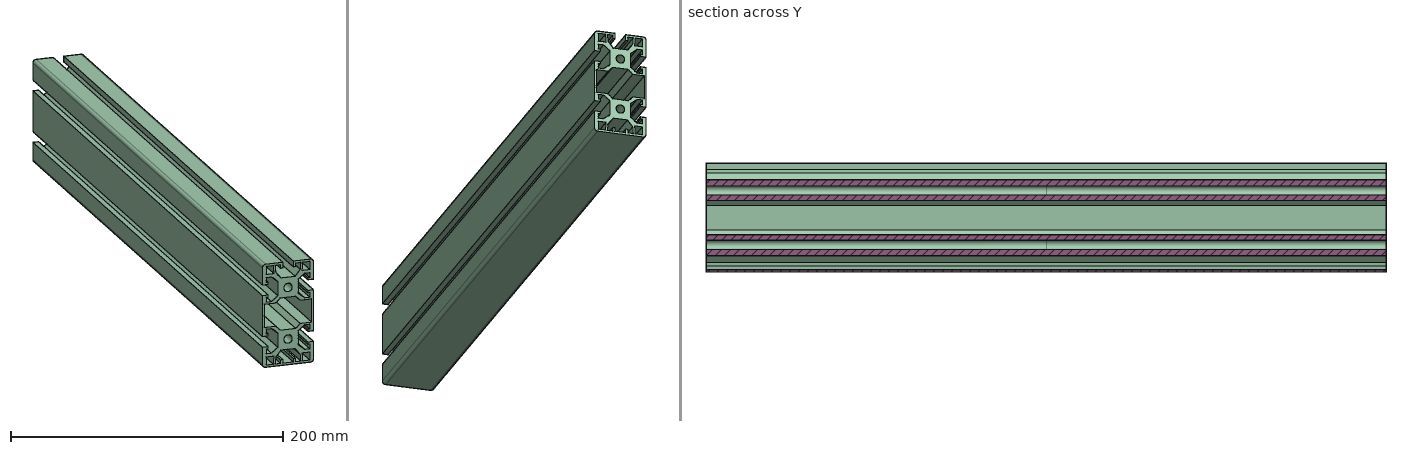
import cadquery as cq

length = 500.0
cell = 40.0
half_cell = cell / 2
corner_radius = 2.5

core_half = 8.0
core_flat_half = 5.5
bore_diameter = 6.5

mouth_half = 4.1
pocket_half = 9.5
pocket_flare = 0.5
shoulder = 13.0
side_wall = 3.0
end_wall = 1.75
lip_depth = 4.5
lip_width = 1.75

corner_web = 2.5
corner_wall = 1.5
cavity_wall = 1.5
cavity_web = 1.5
cavity_depth = 12.5
cavity_flat_half = 6.0

half_length = length / 2


def mirrored(points):
    """Close a half outline with its mirror image across the symmetry plane."""
    return points + [(-across, out) for across, out in reversed(points)]


def prism(points):
    """Extrude a YZ outline over the full length."""
    return cq.Workplane("YZ").polyline(points).close().extrude(half_length, both=True)


def slot_cutter(wall, flare, is_open):
    """T-slot opening toward +Z from a core centred on the origin."""
    lip_inner = half_cell - lip_depth
    wall_inner = half_cell - wall
    mouth_top = half_cell if is_open else wall_inner
    return prism(mirrored([
        (core_flat_half, core_half),
        (pocket_half, shoulder),
        (pocket_half + flare, wall_inner),
        (mouth_half + lip_width, wall_inner),
        (mouth_half + lip_width, lip_inner),
        (mouth_half, lip_inner),
        (mouth_half, mouth_top),
    ]))


def corner_hollow(side):
    """Closed chamber in an upper corner, its inner wall parallel to the flared slot pocket."""
    bottom = half_cell + pocket_half + corner_web
    top = cell - end_wall
    inner = pocket_half + corner_wall
    outer = half_cell - side_wall
    return prism([
        (side * inner, bottom),
        (side * outer, bottom),
        (side * outer, top),
        (side * (inner + pocket_flare), top),
    ])


def central_cavity():
    """Chamber between the two cores, reaching close to both side walls."""
    outer = half_cell - cavity_wall
    roof = half_cell - pocket_half - cavity_web
    upper = mirrored([(outer, roof), (pocket_half, roof), (cavity_flat_half, cavity_depth)])
    lower = [(across, -up) for across, up in reversed(upper)]
    return prism(upper + lower)


result = (
    cq.Workplane("XY")
    .box(length, cell, 2 * cell)
    .edges("|X").fillet(corner_radius)
    .cut(central_cavity())
)

top_slot = slot_cutter(end_wall, pocket_flare, True).translate((0, 0, half_cell))
bottom_slot = slot_cutter(end_wall, pocket_flare, False).mirror("XY").translate((0, 0, -half_cell))
result = result.cut(top_slot).cut(bottom_slot)

side_slot = slot_cutter(side_wall, 0, True)
for side in (1, -1):
    upper_hollow = corner_hollow(side)
    result = result.cut(upper_hollow).cut(upper_hollow.mirror("XY"))
    turned_slot = side_slot.rotate((0, 0, 0), (1, 0, 0), -90 * side)
    for core_z in (half_cell, -half_cell):
        result = result.cut(turned_slot.translate((0, 0, core_z)))

bore = cq.Workplane("YZ").circle(bore_diameter / 2).extrude(half_length, both=True)
for core_z in (half_cell, -half_cell):
    result = result.cut(bore.translate((0, 0, core_z)))